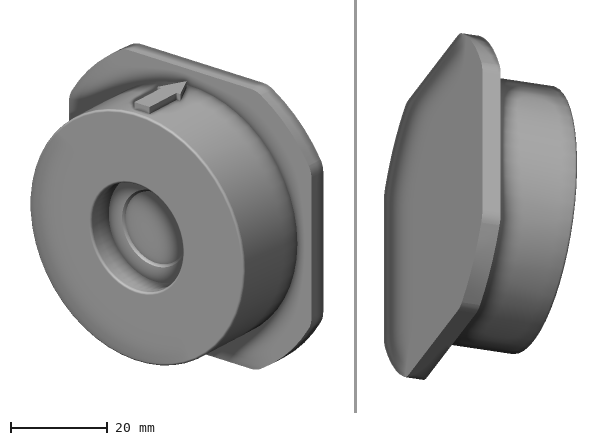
import cadquery as cq
FLANGE_WIDTH = 63.3
FLANGE_THICKNESS = 4.0
FLANGE_CORNER_RADIUS = 36.0
FLANGE_BLEND_RADIUS = 5.0

TOTAL_DEPTH = 22.0
BARREL_RADIUS = 28.0
RIM_FILLET = 0.5

FACE_PLATE_THICKNESS = 0.2

BORE_RADIUS = 11.95
BORE_DEPTH = 6.0
PLUG_RADIUS = 8.0
PLUG_RECESS = 0.5

ARROW_TOP = 29.5
ARROW_TIP_GAP = 1.2
ARROW_LENGTH = 15.0
ARROW_HEAD_LENGTH = 6.0
ARROW_HEAD_WIDTH = 6.0
ARROW_SHAFT_WIDTH = 4.0

FLANGE_FRONT_Y = -FLANGE_THICKNESS
BARREL_FRONT_Y = -TOTAL_DEPTH
FACE_PLATE_BACK_Y = BARREL_FRONT_Y + FACE_PLATE_THICKNESS
BORE_FLOOR_Y = BARREL_FRONT_Y + BORE_DEPTH
PLUG_FRONT_Y = BORE_FLOOR_Y + PLUG_RECESS

PICK_MARGIN = 0.05


def disc(radius, front_y, back_y):
    """Solid cylinder on the Y axis between two Y positions."""
    return cq.Workplane("XZ", origin=(0, back_y, 0)).circle(radius).extrude(back_y - front_y)


def make_flange():
    square = cq.Workplane("XZ").rect(FLANGE_WIDTH, FLANGE_WIDTH).extrude(FLANGE_THICKNESS)
    trimmed = square.intersect(disc(FLANGE_CORNER_RADIUS, FLANGE_FRONT_Y, 0))
    return trimmed.edges("|Y").fillet(FLANGE_BLEND_RADIUS)


def make_barrel():
    """Bored cylinder with both front rims rounded, including the face plate layer."""
    cylinder = disc(BARREL_RADIUS, BARREL_FRONT_Y, FLANGE_FRONT_Y)
    bore = disc(BORE_RADIUS, BARREL_FRONT_Y, BORE_FLOOR_Y)
    return cylinder.cut(bore).faces("<Y").edges().fillet(RIM_FILLET)


def make_arrow():
    """Flat-topped arrow whose underside fits the barrel's round surface."""
    tip_y = FLANGE_FRONT_Y - ARROW_TIP_GAP
    head_y = tip_y - ARROW_HEAD_LENGTH
    tail_y = tip_y - ARROW_LENGTH
    half_head = ARROW_HEAD_WIDTH / 2
    half_shaft = ARROW_SHAFT_WIDTH / 2
    prism = (
        cq.Workplane("XY")
        .moveTo(0, tip_y)
        .lineTo(half_head, head_y)
        .lineTo(half_shaft, head_y)
        .lineTo(half_shaft, tail_y)
        .lineTo(-half_shaft, tail_y)
        .lineTo(-half_shaft, head_y)
        .lineTo(-half_head, head_y)
        .close()
        .extrude(ARROW_TOP)
    )
    return prism.cut(disc(BARREL_RADIUS, BARREL_FRONT_Y, 0))


def face_plate_layer():
    """Full disc that covers the layer taken up by the face plate."""
    return disc(FLANGE_WIDTH, BARREL_FRONT_Y, FACE_PLATE_BACK_Y)


def make_housing():
    """Flange, barrel and arrow in one piece, with a chamfered through seat for the plug."""
    seat = disc(PLUG_RADIUS, BORE_FLOOR_Y, 0)
    body = make_flange().union(make_barrel()).cut(seat)
    bore_floor = cq.selectors.BoxSelector(
        (-BORE_RADIUS, BORE_FLOOR_Y - PICK_MARGIN, -BORE_RADIUS),
        (BORE_RADIUS, BORE_FLOOR_Y + PICK_MARGIN, BORE_RADIUS),
    )
    seat_rim = body.edges(bore_floor).edges(cq.selectors.RadiusNthSelector(0))
    body = seat_rim.chamfer(PLUG_RECESS)
    return body.union(make_arrow()).cut(face_plate_layer())


def make_face_plate():
    """Thin ring that carries the front part of both rounded rims."""
    return make_barrel().intersect(face_plate_layer())


def make_plug():
    """Round plug that fills the seat from the chamfer to the flange's back face."""
    return disc(PLUG_RADIUS, PLUG_FRONT_Y, 0)


housing = make_housing()
face_plate = make_face_plate()
plug = make_plug()

result = cq.Compound.makeCompound([housing.val(), face_plate.val(), plug.val()])